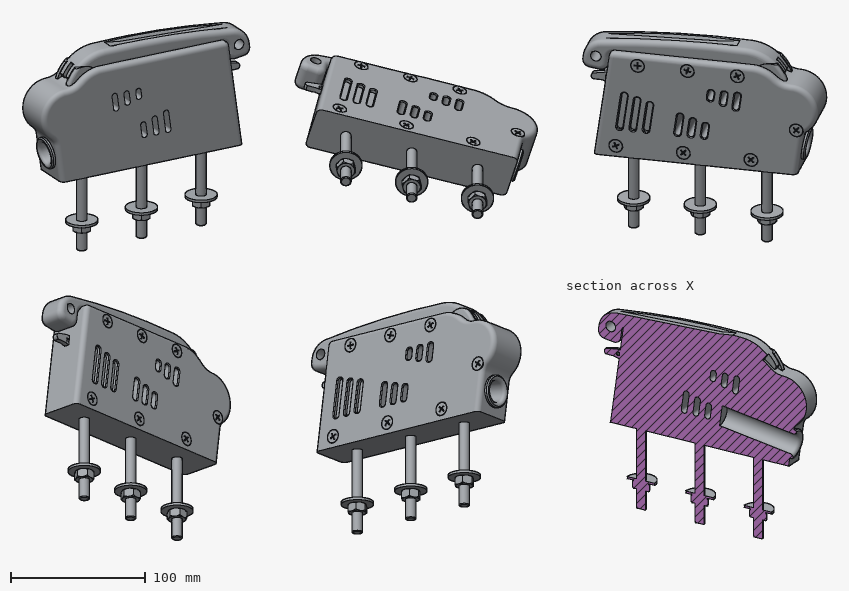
import cadquery as cq
import math


WIDTH = 34.0
HALF_WIDTH = WIDTH / 2
BASE_LENGTH = 155.0
HALF_BASE = BASE_LENGTH / 2
LEAN = 8.0
LEAN_SIN = math.sin(math.radians(LEAN))
LEAN_COS = math.cos(math.radians(LEAN))
LEAN_TAN = LEAN_SIN / LEAN_COS
TOP_Z = 84.3
BACK_CORNER_RADIUS = 4.0
HOUSING_FILLET = 3.8
SHOULDER_Y = -42.2
SHOULDER_RADIUS = 27.0
NOSE_Y = -72.6
NOSE_Z = 51.8
NOSE_RADIUS = 20.5
THROAT_RADIUS = 9.0

SLOT_WIDTH = 4.5
SLOT_CHAMFER = 0.75
SLOT_PITCH = 10.0 / LEAN_COS
BLIND_SLOT_DEPTH = 3.0
LOW_SLOT_Z = 24.6
HIGH_SLOT_Z = 60.3
SLOT_STEP = 2.75
BLIND_SLOT_Y = 57.5
BLIND_SLOT_RISE = 26.1
LOW_SLOT_Y = 13.3
LOW_SLOT_RISE = 13.7
HIGH_SLOT_Y = -12.2
HIGH_SLOT_RISE = 4.3

UPPER_SCREW_Z = 76.4
LOWER_SCREW_Z = 8.7
SCREWS = [
    (43.8, UPPER_SCREW_Z, 0),
    (5.9, UPPER_SCREW_Z, 18),
    (-32.2, UPPER_SCREW_Z, 65),
    (-77.1, 36.9, 40),
    (60.4, LOWER_SCREW_Z, 65),
    (8.9, LOWER_SCREW_Z, 45),
    (-42.6, LOWER_SCREW_Z, 45),
]
SCREW_HEAD_DIAMETER = 10.0
SCREW_SEAT_DIAMETER = 10.5
SCREW_SEAT_DEPTH = 3.0
CROSS_LENGTH = 5.2
CROSS_WIDTH = 0.6
CROSS_DEPTH = 2.0

BUSH_Z = 18.9
BUSH_DIAMETER = 24.5
BUSH_HEIGHT = 2.7
BUSH_RIM_DIAMETER = 22.4
BUSH_RIM_HEIGHT = 1.0
BUSH_BORE_DIAMETER = 16.4
BUSH_LIP_RADIUS = 2.6
BUSH_BORE_DEPTH = 62.0

BOLT_DIAMETER = 8.0
BOLT_PITCH = 50.8
BOLT_END_Z = -64.3
BOLT_CHAMFER = 0.7
BOLT_EMBED = 5.0
WASHER_DIAMETER = 24.0
WASHER_THICKNESS = 2.0
WASHER_TOP_Z = -40.3
NUT_ACROSS_FLATS = 13.0
NUT_HEIGHT = 6.5
NUT_CHAMFER_HEIGHT = 0.9

LEVER_WIDTH = 21.5
LEVER_FILLET = 4.2
LEVER_TOP_Z = 95.55
LEVER_CROWN_Y = -15.4
LEVER_CROWN_RADIUS = 690.0
LEVER_BACK_Y = 74.0
LEVER_BOTTOM_Z = 81.1
LEVER_FRONT_Y = -37.0
LEVER_FRONT_RADIUS = 33.5
LEVER_ROOT_Z = 65.0
LEVER_ROOT_Y = -46.0
LEVER_UNDERSIDE_Y = -31.5
LEVER_FRONT_END_ANGLE = 169.0
TAIL_HOLE = (77.1, 77.8)
TAIL_HOLE_DIAMETER = 8.0
TAIL_OUTER = 10.1
TAIL_INNER = -9.8
TAIL_BOTTOM = 11.7
TAIL_ROUND_DROP = 2.8
TAIL_CORNER_RADIUS = 6.0
TAIL_THROAT_RADIUS = 4.5

GROOVE_START_Y = 70.6
GROOVE_RAMP_Y = -17.0
GROOVE_END_Y = -29.2
GROOVE_FLOOR_WIDTH = 7.7
GROOVE_DRAFT = 30.0
GROOVE_RAMP_DEPTH = 1.8
GROOVE_CLEAR_Z = LEVER_TOP_Z + 1.0

EAR_Y = -55.1
EAR_Z = 73.4
EAR_RADIUS = 12.9
EAR_FILLET = 2.2
EAR_WIDTH = 21.8
EAR_RISE = 0.5
EAR_GAP = 12.6
EAR_GAP_DIAMETER = 3 * EAR_RADIUS
EAR_GAP_FRONT = [(-65.6, 90.0), (-65.6, 77.4), (-64.0, 74.6), (-64.0, 60.0)]
LEVER_SLOT_WIDTH = 4.0
LEVER_SLOT_TOP = (-59.5, 87.0)
LEVER_SLOT_BOTTOM = (-50.0, 74.0)

LATCH_WIDTH = 4.0
LATCH_HOLE_SIZE = 2.3
LATCH_HOLE = (70.65, 57.2)
LATCH_ROOT_TOP = (60.0, 61.0)
LATCH_SHOULDER_TOP = (72.0, 61.0)
LATCH_NOSE_TOP = (81.1, 59.3)
LATCH_TIP = (82.7, 56.9)
LATCH_NOSE_BOTTOM = (81.1, 54.5)
LATCH_SHOULDER_BOTTOM = (74.5, 54.4)
LATCH_ROOT_BOTTOM = (60.0, 50.8)


def side_sketch(x=0.0):
    """YZ sketch plane at the given X."""
    return cq.Workplane("YZ", origin=(x, 0, 0))


def disc(y, z, diameter, x_start, depth):
    """Cylinder along +X."""
    return side_sketch(x_start).center(y, z).circle(diameter / 2).extrude(depth)


def on_circle(center, radius, degrees):
    angle = math.radians(degrees)
    return (center[0] + radius * math.cos(angle), center[1] + radius * math.sin(angle))


def back_face_y(z):
    return HALF_BASE - z * LEAN_TAN


def front_face_y(z):
    return -HALF_BASE - z * LEAN_TAN


def housing():
    nose = (NOSE_Y, NOSE_Z)
    nose_top_z = NOSE_Z + NOSE_RADIUS
    run = SHOULDER_Y - NOSE_Y
    drop = TOP_Z - nose_top_z
    turn = 2 * math.atan2(drop, run)
    turn_degrees = math.degrees(turn)
    neck_radius = run / math.sin(turn) - SHOULDER_RADIUS
    shoulder = (SHOULDER_Y, TOP_Z - SHOULDER_RADIUS)
    neck = (NOSE_Y, nose_top_z + neck_radius)
    nose_offset = -((NOSE_Y + HALF_BASE) * LEAN_COS + NOSE_Z * LEAN_SIN)
    reach = NOSE_RADIUS + THROAT_RADIUS
    throat_swing = math.degrees(math.acos((THROAT_RADIUS - nose_offset) / reach))
    throat_angle = 180 + LEAN + throat_swing
    throat = on_circle(nose, reach, throat_angle)

    profile = (
        side_sketch(-HALF_WIDTH)
        .moveTo(-HALF_BASE, 0)
        .lineTo(HALF_BASE, 0)
        .lineTo(back_face_y(TOP_Z), TOP_Z)
        .lineTo(SHOULDER_Y, TOP_Z)
        .threePointArc(
            on_circle(shoulder, SHOULDER_RADIUS, 90 + turn_degrees / 2),
            on_circle(shoulder, SHOULDER_RADIUS, 90 + turn_degrees),
        )
        .threePointArc(
            on_circle(neck, neck_radius, -90 + turn_degrees / 2),
            (NOSE_Y, nose_top_z),
        )
        .threePointArc(
            on_circle(nose, NOSE_RADIUS, (90 + throat_angle) / 2),
            on_circle(nose, NOSE_RADIUS, throat_angle),
        )
        .threePointArc(
            on_circle(throat, THROAT_RADIUS, LEAN + throat_swing / 2),
            on_circle(throat, THROAT_RADIUS, LEAN),
        )
        .close()
    )
    block = profile.extrude(WIDTH)
    top_corner = cq.selectors.NearestToPointSelector((0, back_face_y(TOP_Z), TOP_Z))
    block = block.edges("|X").edges(top_corner).fillet(BACK_CORNER_RADIUS)
    outline = block.faces("<X or >X").edges("not <Z")
    return outline.fillet(HOUSING_FILLET)


def slot_cutter(bottom_y, bottom_z, rise, depth):
    """Leaning slot cut from the -X side, chamfered where it enters."""
    length = rise / LEAN_COS
    middle = (bottom_y - rise * LEAN_TAN / 2, bottom_z + rise / 2)

    def slot(width, x_start):
        plane = side_sketch(x_start).center(*middle)
        return plane.slot2D(length + width, width, 90 + LEAN)

    straight = slot(SLOT_WIDTH, -HALF_WIDTH).extrude(depth)
    mouth = slot(SLOT_WIDTH + 2 * SLOT_CHAMFER, -HALF_WIDTH).extrude(SLOT_CHAMFER, taper=45)
    return straight.union(mouth)


def cut_slots(body):
    for i in range(3):
        shift = i * SLOT_PITCH
        change = i * SLOT_STEP
        body = body.cut(
            slot_cutter(BLIND_SLOT_Y - shift, LOW_SLOT_Z, BLIND_SLOT_RISE - change, BLIND_SLOT_DEPTH)
        )
        body = body.cut(slot_cutter(LOW_SLOT_Y - shift, LOW_SLOT_Z, LOW_SLOT_RISE - change, WIDTH))
        rise = HIGH_SLOT_RISE + change
        bottom_y = HIGH_SLOT_Y - shift + rise * LEAN_TAN
        body = body.cut(slot_cutter(bottom_y, HIGH_SLOT_Z - rise, rise, WIDTH))
    return body


def add_screws(body):
    for y, z, turn in SCREWS:
        body = body.cut(disc(y, z, SCREW_SEAT_DIAMETER, -HALF_WIDTH, SCREW_SEAT_DEPTH))
        head = disc(y, z, SCREW_HEAD_DIAMETER, -HALF_WIDTH, SCREW_SEAT_DEPTH)
        for angle in (turn, turn + 90):
            arm = cq.Workplane().box(2 * CROSS_DEPTH, CROSS_LENGTH, CROSS_WIDTH)
            arm = arm.rotate((0, 0, 0), (1, 0, 0), angle)
            head = head.cut(arm.translate((-HALF_WIDTH, y, z)))
        body = body.union(head)
    return body


def add_bush(body):
    """Bush shapes are revolved about Z, then laid onto the leaning front face."""
    bore_radius = BUSH_BORE_DIAMETER / 2
    outer_radius = BUSH_DIAMETER / 2
    lip_outer = bore_radius + BUSH_LIP_RADIUS
    lip_base = BUSH_HEIGHT - BUSH_LIP_RADIUS
    lip_mid = BUSH_LIP_RADIUS * (1 - math.sqrt(0.5))
    ring = (
        cq.Workplane()
        .circle(outer_radius)
        .extrude(BUSH_HEIGHT)
        .faces(">Z")
        .chamfer(BUSH_RIM_HEIGHT, (BUSH_DIAMETER - BUSH_RIM_DIAMETER) / 2)
    )
    bore = (
        cq.Workplane("XZ")
        .moveTo(0, -BUSH_BORE_DEPTH)
        .lineTo(bore_radius, -BUSH_BORE_DEPTH)
        .lineTo(bore_radius, lip_base)
        .threePointArc((bore_radius + lip_mid, BUSH_HEIGHT - lip_mid), (lip_outer, BUSH_HEIGHT))
        .lineTo(0, BUSH_HEIGHT)
        .close()
        .revolve(360, (0, 0), (0, 1))
    )

    def place(shape):
        turned = shape.rotate((0, 0, 0), (1, 0, 0), 90 + LEAN)
        return turned.translate((0, front_face_y(BUSH_Z), BUSH_Z))

    return body.union(place(ring)).cut(place(bore))


def bolt_set():
    length = BOLT_EMBED - BOLT_END_Z
    shank = cq.Workplane(origin=(0, 0, BOLT_END_Z)).circle(BOLT_DIAMETER / 2).extrude(length)
    shank = shank.faces("<Z").chamfer(BOLT_CHAMFER)
    washer_z = WASHER_TOP_Z - WASHER_THICKNESS
    washer = cq.Workplane(origin=(0, 0, washer_z)).circle(WASHER_DIAMETER / 2).extrude(WASHER_THICKNESS)
    nut_z = washer_z - NUT_HEIGHT
    across_corners = NUT_ACROSS_FLATS / math.cos(math.pi / 6)
    nut = cq.Workplane(origin=(0, 0, nut_z)).polygon(6, across_corners).extrude(NUT_HEIGHT)
    nut = nut.rotate((0, 0, 0), (0, 0, 1), 90)
    corner_cut = (across_corners - NUT_ACROSS_FLATS) / 2
    blank = cq.Workplane(origin=(0, 0, nut_z)).circle(across_corners / 2).extrude(NUT_HEIGHT)
    blank = blank.edges().chamfer(NUT_CHAMFER_HEIGHT, corner_cut)
    return shank.union(washer).union(nut.intersect(blank))


def crown_z(y):
    """Height of the gently arched lever top."""
    drop = LEVER_CROWN_RADIUS - math.sqrt(LEVER_CROWN_RADIUS**2 - (y - LEVER_CROWN_Y) ** 2)
    return LEVER_TOP_Z - drop


def tail_point(along, down):
    """Point in axes leaning with the back face, measured from the tail hole."""
    return (
        TAIL_HOLE[0] + along * LEAN_COS + down * LEAN_SIN,
        TAIL_HOLE[1] + along * LEAN_SIN - down * LEAN_COS,
    )


TAIL_THROAT_DOWN = (TAIL_HOLE[1] - LEVER_BOTTOM_Z + TAIL_INNER * LEAN_SIN) / LEAN_COS
FRONT_TURN = math.degrees(math.asin((LEVER_CROWN_Y - LEVER_FRONT_Y) / LEVER_CROWN_RADIUS))
FRONT_START = (LEVER_FRONT_Y, crown_z(LEVER_FRONT_Y))
FRONT_CENTER = on_circle(FRONT_START, LEVER_FRONT_RADIUS, 270 + FRONT_TURN)


def lever_profile():
    front_start_angle = 90 + FRONT_TURN
    return (
        side_sketch(-LEVER_WIDTH / 2)
        .moveTo(LEVER_ROOT_Y, LEVER_ROOT_Z)
        .lineTo(LEVER_UNDERSIDE_Y, LEVER_BOTTOM_Z)
        .lineTo(*tail_point(TAIL_INNER, TAIL_THROAT_DOWN))
        .lineTo(*tail_point(TAIL_INNER, TAIL_BOTTOM))
        .lineTo(*tail_point(TAIL_OUTER, TAIL_BOTTOM))
        .lineTo(*tail_point(TAIL_OUTER, TAIL_ROUND_DROP))
        .tangentArcPoint((LEVER_BACK_Y, crown_z(LEVER_BACK_Y)), relative=False)
        .threePointArc((LEVER_CROWN_Y, LEVER_TOP_Z), FRONT_START)
        .threePointArc(
            on_circle(FRONT_CENTER, LEVER_FRONT_RADIUS, (front_start_angle + LEVER_FRONT_END_ANGLE) / 2),
            on_circle(FRONT_CENTER, LEVER_FRONT_RADIUS, LEVER_FRONT_END_ANGLE),
        )
        .close()
    )


def round_tail(body):
    corners = [
        (TAIL_INNER, TAIL_THROAT_DOWN, TAIL_THROAT_RADIUS),
        (TAIL_INNER, TAIL_BOTTOM, TAIL_CORNER_RADIUS),
        (TAIL_OUTER, TAIL_BOTTOM, TAIL_CORNER_RADIUS),
    ]
    for along, down, radius in corners:
        corner = cq.selectors.NearestToPointSelector((0, *tail_point(along, down)))
        body = body.edges("|X").edges(corner).fillet(radius)
    return body


def lever_groove():
    """Trapezoid groove with a flat floor that ramps up at its front end."""
    start = (GROOVE_START_Y, crown_z(GROOVE_START_Y))
    ramp = (GROOVE_RAMP_Y, crown_z(GROOVE_RAMP_Y) - GROOVE_RAMP_DEPTH)
    end = (GROOVE_END_Y, crown_z(GROOVE_END_Y))
    outline = [start, ramp, end, (GROOVE_END_Y, GROOVE_CLEAR_Z), (GROOVE_START_Y, GROOVE_CLEAR_Z)]
    side = side_sketch(-LEVER_WIDTH / 2).polyline(outline).close().extrude(LEVER_WIDTH)
    floor_half = GROOVE_FLOOR_WIDTH / 2
    height = GROOVE_CLEAR_Z - start[1]
    top_half = floor_half + height * math.tan(math.radians(GROOVE_DRAFT))
    slope = math.degrees(math.atan2(ramp[1] - start[1], start[0] - ramp[0]))
    length = start[0] - end[0]
    section = [(-floor_half, 0), (floor_half, 0), (top_half, height), (-top_half, height)]
    trough = cq.Workplane("XZ").polyline(section).close().extrude(length)
    trough = trough.rotate((0, 0, 0), (1, 0, 0), -slope).translate((0, *start))
    return side.intersect(trough)


def ears():
    """Pair of cheeks: front curve and hinge circle in common, parted by the gap."""
    half = EAR_WIDTH / 2
    front = disc(*FRONT_CENTER, 2 * (LEVER_FRONT_RADIUS + EAR_RISE), -half, EAR_WIDTH)
    front = front.faces("<X or >X").edges().fillet(EAR_FILLET)
    pair = front.intersect(disc(EAR_Y, EAR_Z, 2 * EAR_RADIUS, -half, EAR_WIDTH))
    return pair.cut(disc(EAR_Y, EAR_Z, EAR_GAP_DIAMETER, -EAR_GAP / 2, EAR_GAP))


def lever():
    body = round_tail(lever_profile().extrude(LEVER_WIDTH))
    body = body.faces("<X or >X").edges().fillet(LEVER_FILLET)
    body = body.cut(lever_groove())
    body = body.cut(disc(*TAIL_HOLE, TAIL_HOLE_DIAMETER, -LEVER_WIDTH / 2, LEVER_WIDTH))
    ahead = FRONT_CENTER[0] - 2 * LEVER_FRONT_RADIUS
    gap = EAR_GAP_FRONT + [(ahead, EAR_GAP_FRONT[-1][1]), (ahead, EAR_GAP_FRONT[0][1])]
    body = body.cut(side_sketch(-LEVER_WIDTH / 2).polyline(gap).close().extrude(LEVER_WIDTH))
    slot = [LEVER_SLOT_TOP, LEVER_SLOT_BOTTOM, (ahead, LEVER_SLOT_BOTTOM[1]), (ahead, LEVER_SLOT_TOP[1])]
    cutter = side_sketch(-LEVER_SLOT_WIDTH / 2).polyline(slot).close().extrude(LEVER_SLOT_WIDTH)
    return body.cut(cutter).union(ears())


def latch():
    outline = (
        side_sketch(-LATCH_WIDTH / 2)
        .moveTo(*LATCH_ROOT_TOP)
        .lineTo(*LATCH_SHOULDER_TOP)
        .lineTo(*LATCH_NOSE_TOP)
        .threePointArc(LATCH_TIP, LATCH_NOSE_BOTTOM)
        .lineTo(*LATCH_SHOULDER_BOTTOM)
        .lineTo(*LATCH_ROOT_BOTTOM)
        .close()
    )
    hole = side_sketch(-LATCH_WIDTH / 2).center(*LATCH_HOLE).rect(LATCH_HOLE_SIZE, LATCH_HOLE_SIZE)
    return outline.extrude(LATCH_WIDTH).cut(hole.extrude(LATCH_WIDTH))


def build():
    body = add_screws(cut_slots(housing()))
    body = add_bush(body)
    for i in (-1, 0, 1):
        body = body.union(bolt_set().translate((0, i * BOLT_PITCH, 0)))
    return body.union(latch()).union(lever())


result = build()